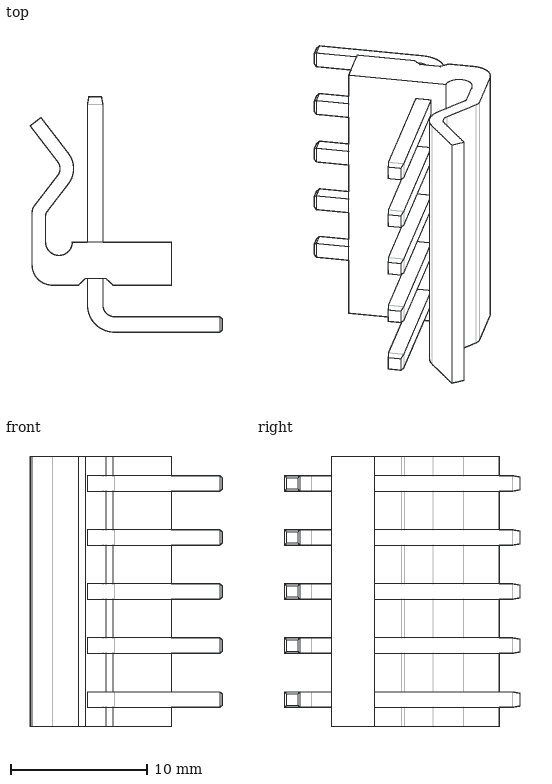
import cadquery as cq
import math


pin_count = 5
pitch = 3.96
pin_width = 1.15
pin_top = 13.82
pin_bottom = -3.45
pin_reach = 9.33
bend_radius = 2.0
top_tip_length = 0.55
top_tip_inset = 0.1
side_tip_length = 0.2
side_tip_inset = 0.15

row_length = pin_count * pitch
housing_left = -4.63
housing_right = 5.6
housing_height = 3.17
corner_radius = 1.5

groove_center = 0.04
groove_floor = 1.5
groove_mouth = 2.53
groove_depth = 0.5

wall_thickness = 1.0
slot_radius = 0.97
lean_angle = math.radians(37.5)
lower_kink_y = 5.6
upper_kink_y = 8.55
latch_left = -4.77
lower_outer_radius = 0.83
lower_inner_radius = 0.4
upper_inner_radius = 0.81
upper_outer_radius = upper_inner_radius + wall_thickness


def along_row(outline):
    """Extrude a closed XY outline over the full row length, centred on Z = 0."""
    return outline.extrude(row_length / 2, both=True)


def make_base():
    base = along_row(
        cq.Workplane("XY")
        .moveTo(housing_left, 0)
        .lineTo(housing_right, 0)
        .lineTo(housing_right, housing_height)
        .lineTo(housing_left, housing_height)
        .close()
    )
    base = base.edges("|Z and <X and <Y").fillet(corner_radius)
    groove = along_row(
        cq.Workplane("XY")
        .moveTo(groove_center - groove_mouth / 2, 0)
        .lineTo(groove_center + groove_mouth / 2, 0)
        .lineTo(groove_center + groove_floor / 2, groove_depth)
        .lineTo(groove_center - groove_floor / 2, groove_depth)
        .close()
    )
    slot_x = housing_left + wall_thickness + slot_radius
    slot = along_row(cq.Workplane("XY").center(slot_x, housing_height).circle(slot_radius))
    return base.cut(groove).cut(slot)


def make_latch():
    wall_right = housing_left + wall_thickness
    mitre_drop = wall_thickness * math.tan(lean_angle / 2)
    lower_left = (housing_left, lower_kink_y)
    lower_right = (wall_right, lower_kink_y - mitre_drop)

    upper_left_x = housing_left + (upper_kink_y - lower_kink_y) * math.tan(lean_angle)
    upper_left = (upper_left_x, upper_kink_y)
    upper_right = (upper_left_x + wall_thickness / math.cos(lean_angle), upper_kink_y)

    tip_y = upper_kink_y + (upper_left_x - latch_left) / math.tan(lean_angle)
    tip_left = (latch_left, tip_y)
    tip_right = (
        latch_left + wall_thickness * math.cos(lean_angle),
        tip_y + wall_thickness * math.sin(lean_angle),
    )

    latch = along_row(
        cq.Workplane("XY")
        .moveTo(housing_left, housing_height)
        .lineTo(*lower_left)
        .lineTo(*upper_left)
        .lineTo(*tip_left)
        .lineTo(*tip_right)
        .lineTo(*upper_right)
        .lineTo(*lower_right)
        .lineTo(wall_right, housing_height)
        .close()
    )
    bends = [
        (lower_left, lower_outer_radius),
        (lower_right, lower_inner_radius),
        (upper_left, upper_inner_radius),
        (upper_right, upper_outer_radius),
    ]
    for (x, y), radius in bends:
        latch = latch.edges(cq.NearestToPointSelector((x, y, 0))).fillet(radius)
    return latch


def tapered_tip(end_face, length, inset):
    taper = math.degrees(math.atan2(inset, length))
    return end_face.rect(pin_width, pin_width).extrude(length, taper=taper)


def make_pin():
    half = pin_width / 2
    inner_radius = bend_radius - pin_width
    leg_top = pin_top - top_tip_length
    leg_end = pin_reach - side_tip_length
    leg_center_y = pin_bottom + half

    shank = (
        cq.Workplane("XY")
        .moveTo(-half, leg_top)
        .lineTo(-half, pin_bottom + bend_radius)
        .radiusArc((-half + bend_radius, pin_bottom), -bend_radius)
        .lineTo(leg_end, pin_bottom)
        .lineTo(leg_end, pin_bottom + pin_width)
        .lineTo(half + inner_radius, pin_bottom + pin_width)
        .radiusArc((half, pin_bottom + bend_radius), inner_radius)
        .lineTo(half, leg_top)
        .close()
        .extrude(half, both=True)
    )
    top_face = cq.Workplane("ZX", origin=(0, leg_top, 0))
    side_face = cq.Workplane("YZ", origin=(leg_end, leg_center_y, 0))
    top_tip = tapered_tip(top_face, top_tip_length, top_tip_inset)
    side_tip = tapered_tip(side_face, side_tip_length, side_tip_inset)
    return shank.union(top_tip).union(side_tip)


result = make_base().union(make_latch())
pin = make_pin()
for index in range(pin_count):
    pin_z = (index - (pin_count - 1) / 2) * pitch
    result = result.union(pin.translate((0, 0, pin_z)))